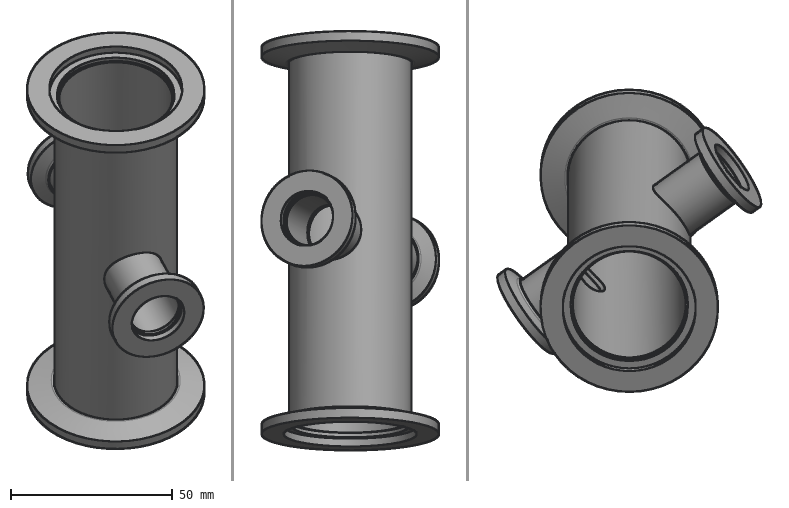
import cadquery as cq
import math

TOTAL_HEIGHT = 122.0
TOTAL_WIDTH = 80.0

MAIN_OUTER_D = 38.1
MAIN_INNER_D = 35.0

SIDE_OUTER_D = 19.0
SIDE_INNER_D = 16.0

RIM_THICKNESS = 3.0
FLANGE_LENGTH = 5.0
CLAMP_ANGLE = 15.0
RECESS_DEPTH = 2.5
SOCKET_START = 3.8

MAIN_RIM_D = 55.0
MAIN_NECK_D = 40.0
MAIN_RECESS_D = 41.2
MAIN_BORE_D = 36.4
MAIN_SOCKET_D = 38.4

SIDE_RIM_D = 30.0
SIDE_NECK_D = 20.0
SIDE_RECESS_D = 17.2
SIDE_BORE_D = 16.1
SIDE_SOCKET_D = 19.3
SIDE_NECK_FILLET = 0.7


def cylinder_along_x(diameter, start, end):
    """Solid cylinder on the X axis between two X positions."""
    return cq.Workplane("YZ").workplane(offset=start).circle(diameter / 2).extrude(end - start)


def make_flange(rim_d, neck_d, recess_d, bore_d, socket_d, neck_fillet=0.0):
    """Clamp flange on the Z axis: face at Z = 0, neck pointing down.

    The cone ends in a straight neck, or at the end of the flange if it reaches that far.
    """
    cone_drop = (rim_d - neck_d) / 2 * math.tan(math.radians(CLAMP_ANGLE))
    cone_end = min(RIM_THICKNESS + cone_drop, FLANGE_LENGTH)
    profile = [
        (recess_d / 2, 0),
        (rim_d / 2, 0),
        (rim_d / 2, -RIM_THICKNESS),
        (neck_d / 2, -cone_end),
    ]
    if cone_end < FLANGE_LENGTH:
        profile.append((neck_d / 2, -FLANGE_LENGTH))
    profile += [
        (socket_d / 2, -FLANGE_LENGTH),
        (socket_d / 2, -SOCKET_START),
        (bore_d / 2, -SOCKET_START),
        (bore_d / 2, -RECESS_DEPTH),
        (recess_d / 2, -RECESS_DEPTH),
    ]
    flange = cq.Workplane("XZ").polyline(profile).close().revolve(360, (0, 0, 0), (0, 1, 0))
    if neck_fillet > 0:
        cone_root = cq.selectors.BoxSelector(
            (-rim_d, -rim_d, -cone_end - neck_fillet / 10),
            (rim_d, rim_d, -cone_end + neck_fillet / 10),
            boundingbox=True,
        )
        flange = flange.edges("%CIRCLE").edges(cone_root).fillet(neck_fillet)
    return flange


def make_main_tube():
    """Vertical tube with a cross hole that opens into both side tubes."""
    half_length = TOTAL_HEIGHT / 2 - SOCKET_START
    tube = (
        cq.Workplane("XY")
        .workplane(offset=-half_length)
        .circle(MAIN_OUTER_D / 2)
        .circle(MAIN_INNER_D / 2)
        .extrude(2 * half_length)
    )
    return tube.cut(cylinder_along_x(SIDE_INNER_D, -MAIN_OUTER_D, MAIN_OUTER_D))


def make_side_tube():
    """Tube along +X whose inner end is saddle-cut to fit the main tube."""
    outer_end = TOTAL_WIDTH / 2 - SOCKET_START
    tube = cylinder_along_x(SIDE_OUTER_D, 0, outer_end)
    tube = tube.cut(cylinder_along_x(SIDE_INNER_D, 0, outer_end))
    main_envelope = cq.Workplane("XY").circle(MAIN_OUTER_D / 2).extrude(SIDE_OUTER_D, both=True)
    return tube.cut(main_envelope)


def make_main_flange():
    """Top flange, with its face at the top of the fitting."""
    flange = make_flange(MAIN_RIM_D, MAIN_NECK_D, MAIN_RECESS_D, MAIN_BORE_D, MAIN_SOCKET_D)
    return flange.translate((0, 0, TOTAL_HEIGHT / 2))


def make_side_flange():
    """Flange on the +X port, with its face at the end of the port."""
    flange = make_flange(
        SIDE_RIM_D, SIDE_NECK_D, SIDE_RECESS_D, SIDE_BORE_D, SIDE_SOCKET_D, SIDE_NECK_FILLET
    )
    return flange.rotate((0, 0, 0), (0, 1, 0), 90).translate((TOTAL_WIDTH / 2, 0, 0))


main_tube = make_main_tube()
side_tubes = []
main_flanges = []
side_flanges = []
for turn in (0, 180):
    side_tubes.append(make_side_tube().rotate((0, 0, 0), (0, 1, 0), turn))
    main_flanges.append(make_main_flange().rotate((0, 0, 0), (0, 1, 0), turn))
    side_flanges.append(make_side_flange().rotate((0, 0, 0), (0, 1, 0), turn))

bodies = [main_tube, *side_tubes, *main_flanges, *side_flanges]
result = cq.Compound.makeCompound([body.val() for body in bodies])